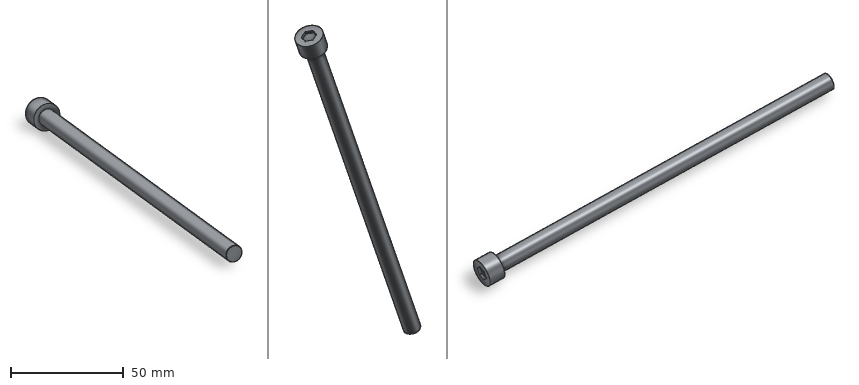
import cadquery as cq
import math

shank_diameter = 8.0
shank_length = 180.0
head_diameter = 13.0
head_height = shank_diameter
socket_across_flats = 6.0
socket_depth = 1.5
tip_chamfer = 0.2


def rod(start, diameter, length):
    """Cylinder along +X starting at the given X position."""
    return cq.Workplane("YZ", origin=(start, 0, 0)).circle(diameter / 2).extrude(length)


def socket():
    """Hexagonal key recess with two corners on the Y axis."""
    across_corners = socket_across_flats / math.cos(math.pi / 6)
    return cq.Workplane("YZ").polygon(6, across_corners).extrude(socket_depth)


head = rod(0, head_diameter, head_height)
shank = rod(head_height, shank_diameter, shank_length).faces(">X").chamfer(tip_chamfer)

result = head.union(shank).cut(socket())